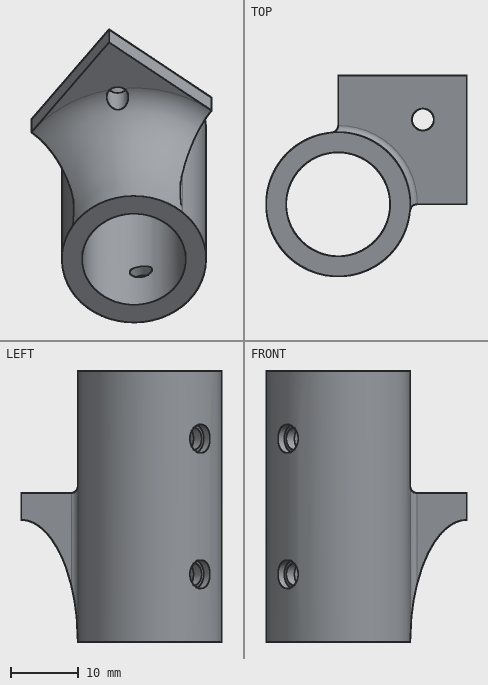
import cadquery as cq
import math

TUBE_DIAMETER = 21.3
BORE_DIAMETER = 15.3
TUBE_HEIGHT = 40.0
TUBE_SEAM_ANGLE = 225

BRACKET_SIDE = 19.0
BRACKET_TOP = 22.0
TIP_THICKNESS = 4.0
FILLET_RADIUS = 1.0
BRACKET_HOLE_DIAMETER = 3.2
BRACKET_HOLE_OFFSET = 12.5

SCREW_HOLE_DIAMETER = 3.3
COUNTERBORE_DIAMETER = 4.2
SCREW_HOLE_HEIGHTS = (TUBE_HEIGHT / 4, TUBE_HEIGHT * 3 / 4)

CUT_CLEARANCE = 1.0

tube_radius = TUBE_DIAMETER / 2
bore_radius = BORE_DIAMETER / 2
counterbore_floor_radius = (tube_radius + bore_radius) / 2
tip_underside = BRACKET_TOP - TIP_THICKNESS


def tube_with_bracket():
    """Solid tube and full-height bracket, filleted where they meet."""
    tube = (
        cq.Workplane("XY")
        .circle(tube_radius)
        .extrude(TUBE_HEIGHT)
        .rotate((0, 0, 0), (0, 0, 1), TUBE_SEAM_ANGLE)
    )
    bracket = cq.Workplane("XY").rect(BRACKET_SIDE, BRACKET_SIDE, centered=False).extrude(BRACKET_TOP)
    body = tube.union(bracket)

    top_box = cq.selectors.BoxSelector(
        (0, 0, BRACKET_TOP - FILLET_RADIUS),
        (tube_radius, tube_radius, BRACKET_TOP + FILLET_RADIUS),
    )
    top_joint = body.edges(top_box).edges("%CIRCLE")
    x_joint = body.edges(cq.selectors.NearestToPointSelector((tube_radius, 0, BRACKET_TOP / 2)))
    y_joint = body.edges(cq.selectors.NearestToPointSelector((0, tube_radius, BRACKET_TOP / 2)))
    return top_joint.add(x_joint).add(y_joint).fillet(FILLET_RADIUS)


def bracket_scoop():
    """Ring below the bracket: a quarter ellipse from the tube foot to the tip, turned about Z."""
    corner_radius = BRACKET_SIDE * math.sqrt(2) + CUT_CLEARANCE
    profile = (
        cq.Workplane("XZ")
        .moveTo(tube_radius, 0)
        .ellipseArc(
            BRACKET_SIDE - tube_radius,
            tip_underside,
            angle1=90,
            angle2=180,
            startAtCurrent=True,
            sense=-1,
        )
        .lineTo(corner_radius, tip_underside)
        .lineTo(corner_radius, 0)
        .close()
    )
    return profile.revolve(360, (0, 0, 0), (0, 1, 0))


def bracket_hole():
    """Vertical hole through the bracket."""
    return (
        cq.Workplane("XY")
        .center(BRACKET_HOLE_OFFSET, BRACKET_HOLE_OFFSET)
        .circle(BRACKET_HOLE_DIAMETER / 2)
        .extrude(TUBE_HEIGHT)
    )


def screw_hole(height):
    """Counterbored hole from the tube axis outward, along the diagonal away from the bracket."""
    outward = cq.Vector(-1, -1, 0).normalized()
    axis_point = cq.Vector(0, 0, height)
    reach = tube_radius + CUT_CLEARANCE
    hole = cq.Solid.makeCylinder(SCREW_HOLE_DIAMETER / 2, reach, axis_point, outward)
    counterbore = cq.Solid.makeCylinder(
        COUNTERBORE_DIAMETER / 2,
        reach - counterbore_floor_radius,
        axis_point + outward * counterbore_floor_radius,
        outward,
    )
    return hole.fuse(counterbore)


bore = cq.Workplane("XY").circle(bore_radius).extrude(TUBE_HEIGHT)

result = tube_with_bracket().cut(bracket_scoop()).cut(bore).cut(bracket_hole())
for screw_height in SCREW_HOLE_HEIGHTS:
    result = result.cut(screw_hole(screw_height))